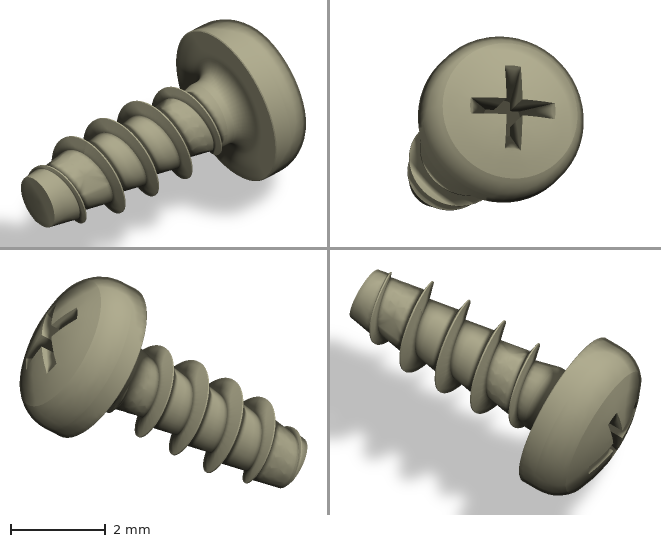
import cadquery as cq
import math


head_radius = 1.75
head_edge_break = 0.02
rim_top = 0.41
dome_edge_radius = 1.475
dome_edge_height = 1.01
dome_height = 1.38
dome_radius = (dome_edge_radius**2 + (dome_height - dome_edge_height)**2) / (
    2 * (dome_height - dome_edge_height)
)

recess_slot_width = 0.35
recess_top_radius = 1.02
recess_bottom_radius = 0.4
recess_floor = 0.35

screw_length = 5.0
neck_radius = 0.735
neck_fillet = 0.355
neck_end = -0.51
neck_taper_radius = 0.56
neck_taper_end = -1.2

tip_radius = 0.585
tip_taper = 0.175
dimple_radius = 0.555
dimple_depth = 0.03

pitch = 0.89
core_max_radius = 0.707
core_min_radius = 0.58
core_slope_radius = 0.588
core_peak_drop = 0.1
core_gap = 0.08
buried_radius = 0.45
core_turns = 6
first_crest = -0.783
overrun = 0.5

crest_radius = 1.0
crest_half_width = 0.015
ridge_slope = 0.29
ridge_depth = 0.5
full_turns = 2.5
full_start_angle = -90
full_start_drop = 3.25
full_start = first_crest - full_start_drop * pitch
run_in_turns = 1.25
run_in_slope = 0.2
run_out_turns = 1.5
run_out_slope = 0.31


def make_head():
    shoulder_drop = dome_edge_height - rim_top
    shoulder_inset = head_radius - dome_edge_radius
    shoulder_radius = (shoulder_drop**2 + shoulder_inset**2) / (2 * shoulder_inset)
    shoulder_center = head_radius - shoulder_radius
    half_x = head_radius + dome_edge_radius - 2 * shoulder_center
    half_z = shoulder_drop
    half_length = (half_x**2 + half_z**2) ** 0.5
    shoulder_mid = (
        shoulder_center + shoulder_radius * half_x / half_length,
        rim_top + shoulder_radius * half_z / half_length,
    )
    dome_mid_radius = dome_edge_radius / 2
    dome_mid_height = dome_height - dome_radius + (dome_radius**2 - dome_mid_radius**2) ** 0.5
    return (
        cq.Workplane("XZ")
        .lineTo(head_radius - head_edge_break, 0)
        .lineTo(head_radius, head_edge_break)
        .lineTo(head_radius, rim_top)
        .threePointArc(shoulder_mid, (dome_edge_radius, dome_edge_height))
        .threePointArc((dome_mid_radius, dome_mid_height), (0, dome_height))
        .close()
        .revolve(360, (0, 0), (0, 1))
    )


def make_recess():
    depth = dome_height - recess_floor
    slot_length = 2 * recess_top_radius
    slots = (
        cq.Workplane("XY", origin=(0, 0, recess_floor))
        .rect(slot_length, recess_slot_width)
        .extrude(depth)
        .union(
            cq.Workplane("XY", origin=(0, 0, recess_floor))
            .rect(recess_slot_width, slot_length)
            .extrude(depth)
        )
    )
    cone = cq.Workplane("XY").add(
        cq.Solid.makeCone(
            recess_bottom_radius, recess_top_radius, depth, pnt=cq.Vector(0, 0, recess_floor)
        )
    )
    return slots.intersect(cone)


def make_neck():
    fillet_outer = neck_radius + neck_fillet
    fillet_mid_offset = neck_fillet * 0.5**0.5
    return (
        cq.Workplane("XZ")
        .moveTo(0, head_edge_break)
        .lineTo(fillet_outer, head_edge_break)
        .lineTo(fillet_outer, 0)
        .threePointArc(
            (fillet_outer - fillet_mid_offset, fillet_mid_offset - neck_fillet),
            (neck_radius, -neck_fillet),
        )
        .lineTo(neck_radius, neck_end)
        .lineTo(neck_taper_radius, neck_taper_end)
        .lineTo(0, neck_taper_end)
        .close()
        .revolve(360, (0, 0), (0, 1))
    )


def make_core():
    start = first_crest - (core_turns - 1) * pitch
    slope_top = -core_peak_drop
    slope_bottom = core_gap - pitch
    profile = (
        cq.Workplane("XZ", origin=(0, 0, start))
        .moveTo(buried_radius, 0)
        .lineTo(core_slope_radius, 0)
        .lineTo(core_max_radius, slope_top)
        .lineTo(core_slope_radius, slope_bottom)
        .lineTo(buried_radius, slope_bottom)
        .close()
    )
    helix = cq.Wire.makeHelix(pitch, core_turns * pitch, crest_radius, cq.Vector(0, 0, start))
    slopes = profile.sweep(cq.Workplane("XY").add(helix), isFrenet=True)
    plain = (
        cq.Workplane("XY", origin=(0, 0, -screw_length - overrun))
        .circle(core_min_radius)
        .extrude(screw_length + overrun)
    )
    cone = cq.Workplane("XY").add(
        cq.Solid.makeCone(
            tip_radius - tip_taper * overrun,
            tip_radius + tip_taper * screw_length,
            screw_length + overrun,
            pnt=cq.Vector(0, 0, -screw_length - overrun),
        )
    )
    return plain.union(slopes).intersect(cone)


def make_ridge(start, turns, start_angle, start_radius, radius_gain=0.0):
    """Sweep the ridge upward; its crest grows by radius_gain per millimetre of height."""
    inner_radius = start_radius - ridge_depth
    inner_half_width = crest_half_width + ridge_slope * ridge_depth
    profile = (
        cq.Workplane("XZ", origin=(0, 0, start))
        .moveTo(inner_radius, inner_half_width)
        .lineTo(start_radius, crest_half_width)
        .lineTo(start_radius, -crest_half_width)
        .lineTo(inner_radius, -inner_half_width)
        .close()
    )
    cone_angle = math.atan(radius_gain)
    helix_pitch = pitch / math.cos(cone_angle)
    helix_angle = math.degrees(cone_angle) if radius_gain else 360
    helix = cq.Wire.makeHelix(
        helix_pitch,
        turns * helix_pitch,
        start_radius,
        cq.Vector(0, 0, start),
        angle=helix_angle,
    )
    ridge = profile.sweep(cq.Workplane("XY").add(helix), isFrenet=True)
    return ridge.rotate((0, 0, 0), (0, 0, 1), start_angle)


def make_threaded_shank():
    full_end = full_start + full_turns * pitch
    full_end_angle = full_start_angle + full_turns * 360
    run_out_height = run_out_turns * pitch
    full_ridge = make_ridge(full_start, full_turns, full_start_angle, crest_radius)
    run_in = make_ridge(full_end, run_in_turns, full_end_angle, crest_radius, -run_in_slope)
    run_out = make_ridge(
        full_start - run_out_height,
        run_out_turns,
        full_start_angle - run_out_turns * 360,
        crest_radius - run_out_slope * run_out_height,
        run_out_slope,
    )
    shank_space = (
        cq.Workplane("XY", origin=(0, 0, -screw_length))
        .circle(head_radius)
        .extrude(screw_length + neck_end)
    )
    return make_core().union(full_ridge).union(run_in).union(run_out).intersect(shank_space)


def make_dimple():
    return cq.Workplane("XY").add(
        cq.Solid.makeCone(dimple_radius, 0, dimple_depth, pnt=cq.Vector(0, 0, -screw_length))
    )


head = make_head().cut(make_recess())
shank = make_threaded_shank().union(make_neck()).cut(make_dimple())
screw = head.union(shank)

result = screw.rotate((0, 0, 0), (1, 0, 0), -90)